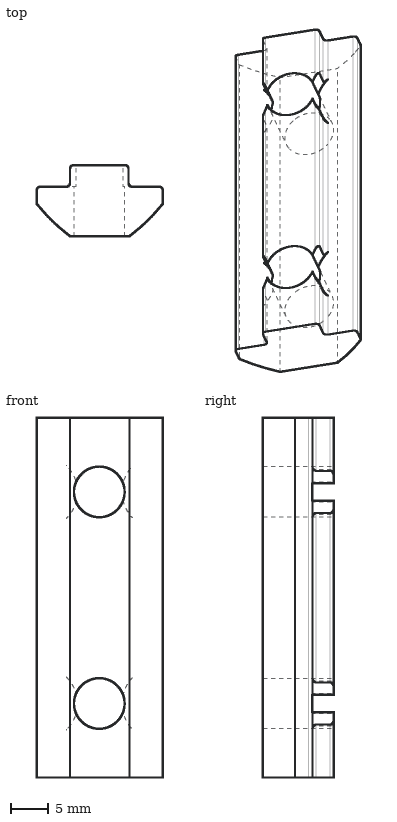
import cadquery as cq
import math

length = 48.5
flange_width = 17.0
total_depth = 9.6

neck_width = 7.9
neck_center_x = -0.06
neck_height = 2.9
nose_width = 8.0
flange_edge_height = 2.33
flank_radius = 25.0
corner_radius = 0.5

hole_diameter = 6.8
hole_end_distance = 10.0

scallop_radius = 5.0
scallop_offset = 8.0

half_flange = flange_width / 2
neck_left = neck_center_x - neck_width / 2
neck_right = neck_center_x + neck_width / 2
half_nose = nose_width / 2
shoulder_y = total_depth - neck_height
flank_top_y = shoulder_y - flange_edge_height
hole_heights = (hole_end_distance, length - hole_end_distance)


def flank_midpoint():
    """Middle of the outward bulging arc on the +X flank."""
    run = half_flange - half_nose
    chord = math.hypot(run, flank_top_y)
    bulge = flank_radius - math.sqrt(flank_radius**2 - (chord / 2) ** 2)
    x = (half_flange + half_nose) / 2 + bulge * flank_top_y / chord
    y = flank_top_y / 2 - bulge * run / chord
    return x, y


def make_bar():
    """Extruded T profile with rounded neck and flange corners."""
    mid_x, mid_y = flank_midpoint()
    bar = (
        cq.Workplane("XY")
        .moveTo(-half_nose, 0)
        .lineTo(half_nose, 0)
        .threePointArc((mid_x, mid_y), (half_flange, flank_top_y))
        .lineTo(half_flange, shoulder_y)
        .lineTo(neck_right, shoulder_y)
        .lineTo(neck_right, total_depth)
        .lineTo(neck_left, total_depth)
        .lineTo(neck_left, shoulder_y)
        .lineTo(-half_flange, shoulder_y)
        .lineTo(-half_flange, flank_top_y)
        .threePointArc((-mid_x, mid_y), (-half_nose, 0))
        .close()
        .extrude(length)
    )
    above_flanks = cq.selectors.BoxSelector(
        (-flange_width, shoulder_y - corner_radius, 0),
        (flange_width, total_depth + corner_radius, length),
    )
    return bar.edges("|Z").edges(above_flanks).fillet(corner_radius)


def cylinder_along_y(x, z, radius, start_y):
    """Cutting cylinder running in +Y from start_y to the neck face."""
    axis_start = cq.Vector(x, start_y, z)
    cylinder = cq.Solid.makeCylinder(radius, total_depth - start_y, axis_start, cq.Vector(0, 1, 0))
    return cq.Workplane(cylinder)


result = make_bar()
for height in hole_heights:
    result = result.cut(cylinder_along_y(neck_center_x, height, hole_diameter / 2, 0))
    for side in (-1, 1):
        result = result.cut(cylinder_along_y(side * scallop_offset, height, scallop_radius, shoulder_y))